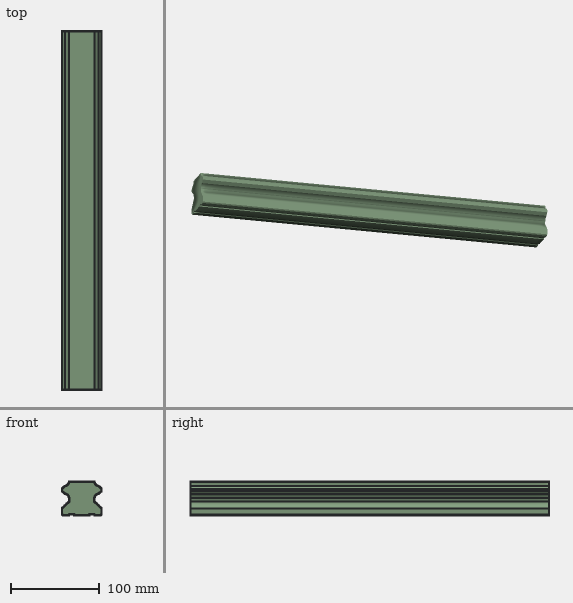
import cadquery as cq

length = 405.0
width = 45.0
height = 38.0
half_width = width / 2

web_half_width = 14.0
web_top_z = 19.5
web_bottom_z = 15.8
foot_height = 7.5
foot_chamfer = 1.2

nose_z = (height + web_top_z) / 2
nose_flat = 2.5
raceway_outer_x = 19.0
raceway_outer_rise = 4.5
raceway_middle_x = 15.8
raceway_middle_rise = 6.0
bevel_width = 0.5
bevel_height = 1.0
raceway_inner_x = web_half_width + bevel_width

relief_inner_x = 8.5
relief_outer_x = 14.0
relief_depth = 1.2


def add_foot(outline):
    """Draw the underside and foot from the centre line out, then in to the web."""
    return (
        outline.moveTo(0, 0)
        .lineTo(relief_inner_x, 0)
        .lineTo(relief_inner_x, relief_depth)
        .lineTo(relief_outer_x, relief_depth)
        .lineTo(relief_outer_x, 0)
        .lineTo(half_width - foot_chamfer, 0)
        .lineTo(half_width, foot_chamfer)
        .lineTo(half_width, foot_height)
        .lineTo(web_half_width, web_bottom_z)
        .lineTo(web_half_width, web_top_z)
    )


def add_head(outline):
    """Draw the lower raceway, the nose, the upper raceway and the top face."""
    return (
        outline.lineTo(raceway_inner_x, web_top_z + bevel_height)
        .threePointArc(
            (raceway_middle_x, nose_z - raceway_middle_rise),
            (raceway_outer_x, nose_z - raceway_outer_rise),
        )
        .lineTo(half_width, nose_z - nose_flat / 2)
        .lineTo(half_width, nose_z + nose_flat / 2)
        .lineTo(raceway_outer_x, nose_z + raceway_outer_rise)
        .threePointArc(
            (raceway_middle_x, nose_z + raceway_middle_rise),
            (raceway_inner_x, height - bevel_height),
        )
        .lineTo(web_half_width, height)
        .lineTo(0, height)
    )


def half_rail():
    """Extrude the +X half of the rail section along the full length."""
    rear_end = cq.Workplane("XZ", origin=(0, length / 2, 0))
    return add_head(add_foot(rear_end)).close().extrude(length)


right_half = half_rail()
result = right_half.union(right_half.mirror("YZ")).clean()